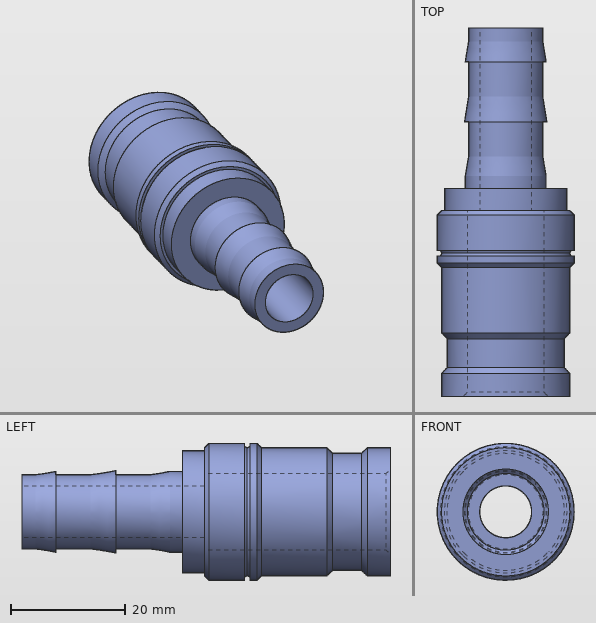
import cadquery as cq

total_length = 64.5

body_radius = 11.2
neck_radius = 10.25
rim_length = 4.05
neck_start = 5.1
neck_end = 10.1
body_cone_end = 11.15
ring_start = 22.6

collar_radius = 12.0
edge_chamfer = 0.8
groove_start = 24.65
groove_wall_radius = 11.4
groove_valley = 25.1
groove_valley_radius = 11.2
collar_start = 25.55
collar_end = 32.6

shoulder_radius = 10.7
shoulder_end = 36.45
stem_radius = 6.5
base_barb_radius = 7.1
base_barb = (38.6, 42.0, base_barb_radius)
middle_barb = (48.05, 52.45, 7.2)
tip_barb = (58.55, 62.1, 7.1)

through_radius = 4.5
socket_radius = 6.7
socket_depth = collar_end
mouth_radius = 7.5
mouth_chamfer = mouth_radius - socket_radius


def add_barb(outline, barb):
    """Step out to the barb's wide end, then taper in to the stem."""
    wide_end, narrow_end, wide_radius = barb
    return outline.lineTo(wide_radius, wide_end).lineTo(stem_radius, narrow_end)


def make_outer():
    """Revolve the outer half outline, drawn as (radius, Y), about the Y axis."""
    outline = (
        cq.Workplane("XY")
        .lineTo(body_radius, 0)
        .lineTo(body_radius, rim_length)
        .lineTo(neck_radius, neck_start)
        .lineTo(neck_radius, neck_end)
        .lineTo(body_radius, body_cone_end)
        .lineTo(body_radius, ring_start)
        .lineTo(collar_radius, ring_start + edge_chamfer)
        .lineTo(collar_radius, groove_start)
        .lineTo(groove_wall_radius, groove_start)
        .lineTo(groove_valley_radius, groove_valley)
        .lineTo(groove_wall_radius, collar_start)
        .lineTo(collar_radius, collar_start)
        .lineTo(collar_radius, collar_end - edge_chamfer)
        .lineTo(collar_radius - edge_chamfer, collar_end)
        .lineTo(shoulder_radius, collar_end)
        .lineTo(shoulder_radius, shoulder_end)
        .lineTo(base_barb_radius, shoulder_end)
    )
    outline = add_barb(outline, base_barb)
    for barb in (middle_barb, tip_barb):
        outline = outline.lineTo(stem_radius, barb[0])
        outline = add_barb(outline, barb)
    outline = outline.lineTo(stem_radius, total_length).lineTo(0, total_length).close()
    return outline.revolve(360, (0, 0), (0, 1))


def make_bore():
    """Stepped bore: chamfered socket at the face and a narrow hole right through."""
    return (
        cq.Workplane("XY")
        .lineTo(mouth_radius, 0)
        .lineTo(socket_radius, mouth_chamfer)
        .lineTo(socket_radius, socket_depth)
        .lineTo(through_radius, socket_depth)
        .lineTo(through_radius, total_length)
        .lineTo(0, total_length)
        .close()
        .revolve(360, (0, 0), (0, 1))
    )


result = make_outer().cut(make_bore())